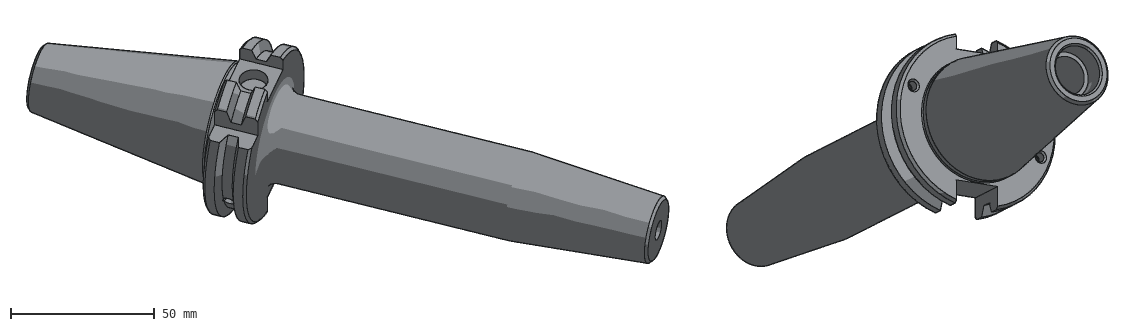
import cadquery as cq
import math

GAUGE_X = 68.4
GAUGE_TO_FLANGE = 3.2
GAUGE_TO_GROOVE = 11.1
GAUGE_TO_FLANGE_END = 19.1
GAUGE_TO_NOSE = 160.0
FLANGE_START_X = GAUGE_X + GAUGE_TO_FLANGE
GROOVE_X = GAUGE_X + GAUGE_TO_GROOVE
FLANGE_END_X = GAUGE_X + GAUGE_TO_FLANGE_END
TOTAL_LENGTH = GAUGE_X + GAUGE_TO_NOSE

GAUGE_RADIUS = 44.45 / 2
TAPER_SLOPE = 7 / 24 / 2
TAPER_END_RADIUS = GAUGE_RADIUS - GAUGE_X * TAPER_SLOPE
TAPER_CHAMFER = 1.0

RELIEF_RADIUS = 43.8 / 2
RELIEF_FLANK_LENGTH = 0.6
RELIEF_START_X = GAUGE_X + RELIEF_FLANK_LENGTH
RELIEF_END_X = FLANGE_START_X - RELIEF_FLANK_LENGTH

FLANGE_RADIUS = 63.5 / 2
FLANGE_CHAMFER = 1.0
GROOVE_FLOOR_RADIUS = 56.25 / 2
GROOVE_FLOOR_WIDTH = 3.75
GROOVE_MOUTH_WIDTH = 7.0

SHANK_RADIUS = 32.0 / 2
SHANK_FILLET = 5.0
NOSE_RADIUS = 24.0 / 2
NOSE_HALF_ANGLE = 4.5
NOSE_CHAMFER = 1.0

SLOT_WIDTH = 16.4
TOP_SLOT_FLOOR_Z = 25.0
BOTTOM_SLOT_FLOOR_Z = -22.5
NOTCH_Y = -18.5
NOTCH_Z = 18.0

CHIP_DIAMETER = 10.0
CHIP_DEPTH = 4.6

COOLANT_CIRCLE_RADIUS = 27.0
COOLANT_ANGLE = 20.0
COOLANT_PASSAGE_DIAMETER = 2.5
FACE_THREAD_DIAMETER = 3.24
FACE_THREAD_DEPTH = 4.0
FACE_SINK_DIAMETER = 4.6
GROOVE_HOLE_DIAMETER = 4.0
GROOVE_HOLE_DEPTH = 2.5
GROOVE_PASSAGE_DEPTH = 6.0

MOUTH_RADIUS = 19.0 / 2
ENTRY_RADIUS = 17.6 / 2
ENTRY_DEPTH = 5.5
ENTRY_CONE_LENGTH = 1.2
PILOT_RADIUS = 17.0 / 2
PILOT_DEPTH = 8.2
THREAD_RADIUS = 13.84 / 2
THREAD_DEPTH = 30.0
DRILL_HALF_ANGLE = 59.0
THROUGH_RADIUS = 6.92 / 2


def rise(run, angle):
    """Height gained over a run by a line at an angle in degrees."""
    return run * math.tan(math.radians(angle))


def make_body():
    """Taper, flange, shank and nose turned about the tool axis."""
    taper_start_radius = TAPER_END_RADIUS + TAPER_CHAMFER * TAPER_SLOPE
    groove_half_floor = GROOVE_FLOOR_WIDTH / 2
    groove_half_mouth = GROOVE_MOUTH_WIDTH / 2
    nose_start_x = TOTAL_LENGTH - (SHANK_RADIUS - NOSE_RADIUS) / rise(1, NOSE_HALF_ANGLE)
    chamfer_start_x = TOTAL_LENGTH - NOSE_CHAMFER
    chamfer_start_radius = NOSE_RADIUS + rise(NOSE_CHAMFER, NOSE_HALF_ANGLE)
    fillet_centre = (FLANGE_END_X + SHANK_FILLET, SHANK_RADIUS + SHANK_FILLET)
    fillet_mid_offset = SHANK_FILLET * math.sqrt(0.5)
    profile = (
        cq.Workplane("XY")
        .moveTo(0, 0)
        .lineTo(0, taper_start_radius - TAPER_CHAMFER)
        .lineTo(TAPER_CHAMFER, taper_start_radius)
        .lineTo(GAUGE_X, GAUGE_RADIUS)
        .lineTo(RELIEF_START_X, RELIEF_RADIUS)
        .lineTo(RELIEF_END_X, RELIEF_RADIUS)
        .lineTo(FLANGE_START_X, GAUGE_RADIUS)
        .lineTo(FLANGE_START_X, FLANGE_RADIUS - FLANGE_CHAMFER)
        .lineTo(FLANGE_START_X + FLANGE_CHAMFER, FLANGE_RADIUS)
        .lineTo(GROOVE_X - groove_half_mouth, FLANGE_RADIUS)
        .lineTo(GROOVE_X - groove_half_floor, GROOVE_FLOOR_RADIUS)
        .lineTo(GROOVE_X + groove_half_floor, GROOVE_FLOOR_RADIUS)
        .lineTo(GROOVE_X + groove_half_mouth, FLANGE_RADIUS)
        .lineTo(FLANGE_END_X - FLANGE_CHAMFER, FLANGE_RADIUS)
        .lineTo(FLANGE_END_X, FLANGE_RADIUS - FLANGE_CHAMFER)
        .lineTo(FLANGE_END_X, fillet_centre[1])
        .threePointArc(
            (fillet_centre[0] - fillet_mid_offset, fillet_centre[1] - fillet_mid_offset),
            (fillet_centre[0], SHANK_RADIUS),
        )
        .lineTo(nose_start_x, SHANK_RADIUS)
        .lineTo(chamfer_start_x, chamfer_start_radius)
        .lineTo(TOTAL_LENGTH, chamfer_start_radius - NOSE_CHAMFER)
        .lineTo(TOTAL_LENGTH, 0)
        .close()
    )
    return profile.revolve(360, (0, 0, 0), (1, 0, 0))


def make_bore():
    """Stepped pull stud bore with its drill cone and the through passage."""
    mouth_depth = MOUTH_RADIUS - ENTRY_RADIUS
    pilot_start_x = ENTRY_DEPTH + ENTRY_CONE_LENGTH
    cone_end_x = THREAD_DEPTH + (THREAD_RADIUS - THROUGH_RADIUS) / rise(1, DRILL_HALF_ANGLE)
    outline = cq.Workplane("XY").polyline([
        (0, 0),
        (0, MOUTH_RADIUS),
        (mouth_depth, ENTRY_RADIUS),
        (ENTRY_DEPTH, ENTRY_RADIUS),
        (pilot_start_x, PILOT_RADIUS),
        (PILOT_DEPTH, PILOT_RADIUS),
        (PILOT_DEPTH, THREAD_RADIUS),
        (THREAD_DEPTH, THREAD_RADIUS),
        (cone_end_x, THROUGH_RADIUS),
        (TOTAL_LENGTH, THROUGH_RADIUS),
        (TOTAL_LENGTH, 0),
    ]).close()
    return outline.revolve(360, (0, 0, 0), (1, 0, 0))


def flange_cutter(y_range, z_range):
    """Block spanning the flange thickness between the given Y and Z limits."""
    length = FLANGE_END_X - FLANGE_START_X
    width = y_range[1] - y_range[0]
    height = z_range[1] - z_range[0]
    block = cq.Workplane("XY").box(length, width, height, centered=False)
    return block.translate((FLANGE_START_X, y_range[0], z_range[0]))


def cut_slots(body):
    """Cut both drive slots and the orientation notch through the flange."""
    slot_sides = (-SLOT_WIDTH / 2, SLOT_WIDTH / 2)
    top_slot = flange_cutter(slot_sides, (TOP_SLOT_FLOOR_Z, FLANGE_RADIUS))
    bottom_slot = flange_cutter(slot_sides, (-FLANGE_RADIUS, BOTTOM_SLOT_FLOOR_Z))
    notch = flange_cutter((-FLANGE_RADIUS, NOTCH_Y), (NOTCH_Z, FLANGE_RADIUS))
    return body.cut(top_slot).cut(bottom_slot).cut(notch)


def make_chip_pocket():
    """Round blind pocket sunk into the floor of the top slot."""
    floor_plane = cq.Workplane("XY", origin=(GROOVE_X, 0, TOP_SLOT_FLOOR_Z))
    return floor_plane.circle(CHIP_DIAMETER / 2).extrude(-CHIP_DEPTH)


def cylinder(diameter, start, direction, length):
    """Round rod running from a start point along a direction."""
    return cq.Workplane(cq.Solid.makeCylinder(diameter / 2, length, start, direction))


def make_coolant_holes(angle):
    """Countersunk axial hole and the radial groove hole that joins it, at one angle about the axis."""
    axial = cq.Vector(1, 0, 0)
    outward = cq.Vector(0, math.cos(math.radians(angle)), math.sin(math.radians(angle)))
    face_point = cq.Vector(FLANGE_START_X, 0, 0) + outward * COOLANT_CIRCLE_RADIUS
    sink_radius = FACE_SINK_DIAMETER / 2
    thread_radius = FACE_THREAD_DIAMETER / 2
    sink = cq.Solid.makeCone(sink_radius, thread_radius, sink_radius - thread_radius, face_point, axial)
    face_thread = cylinder(FACE_THREAD_DIAMETER, face_point, axial, FACE_THREAD_DEPTH)
    face_passage = cylinder(COOLANT_PASSAGE_DIAMETER, face_point, axial, GROOVE_X - FLANGE_START_X)

    rim_point = cq.Vector(GROOVE_X, 0, 0) + outward * FLANGE_RADIUS
    rim_to_floor = FLANGE_RADIUS - GROOVE_FLOOR_RADIUS
    inward = outward * -1
    groove_hole = cylinder(GROOVE_HOLE_DIAMETER, rim_point, inward, rim_to_floor + GROOVE_HOLE_DEPTH)
    groove_passage = cylinder(COOLANT_PASSAGE_DIAMETER, rim_point, inward, rim_to_floor + GROOVE_PASSAGE_DEPTH)
    holes = face_thread.union(face_passage).union(groove_hole).union(groove_passage)
    return holes.union(cq.Workplane(sink))


result = cut_slots(make_body()).cut(make_bore()).cut(make_chip_pocket())
for coolant_angle in (COOLANT_ANGLE, COOLANT_ANGLE + 180):
    result = result.cut(make_coolant_holes(coolant_angle))